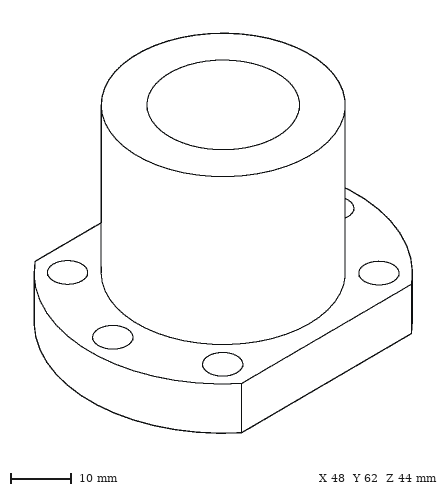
import cadquery as cq

overall_height = 44.0
flange_diameter = 62.0
flange_width = 48.0
flange_thickness = 10.0
body_diameter = 40.0
bore_diameter = 25.0
bolt_hole_diameter = 6.6
bolt_circle_diameter = 51.0
bolt_hole_angles = (45, 90, 135, 225, 270, 315)


def make_flange():
    """Round flange at the base, trimmed by two flats parallel to the YZ plane."""
    disc = cq.Workplane("XY").circle(flange_diameter / 2).extrude(flange_thickness)
    trim = (
        cq.Workplane("XY")
        .rect(flange_width, flange_diameter)
        .extrude(flange_thickness)
    )
    return disc.intersect(trim)


def make_body():
    """Cylindrical nut body rising from the base to the full height."""
    return cq.Workplane("XY").circle(body_diameter / 2).extrude(overall_height)


def make_bore():
    """Central bore through the whole part."""
    return cq.Workplane("XY").circle(bore_diameter / 2).extrude(overall_height)


def make_bolt_holes():
    """Through holes on the bolt circle, three on each rounded end of the flange."""
    holes = cq.Workplane("XY")
    for angle in bolt_hole_angles:
        hole = (
            cq.Workplane("XY")
            .transformed(rotate=(0, 0, angle))
            .center(bolt_circle_diameter / 2, 0)
            .circle(bolt_hole_diameter / 2)
            .extrude(flange_thickness)
        )
        holes = holes.add(hole)
    return holes.combine()


result = make_flange().union(make_body()).cut(make_bore()).cut(make_bolt_holes())